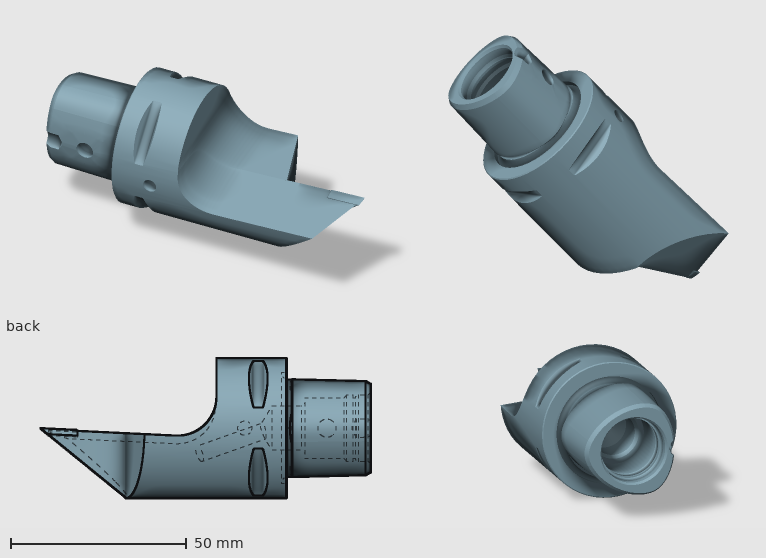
import cadquery as cq
import math


total_length = 94.0
flange_dia = 40.0
flange_radius = flange_dia / 2
flange_x = 23.9
flange_chamfer = 0.3
well_clear = 2 * flange_dia

lobe_count = 3
lobe_mean_dia = 27.9
lobe_height = 0.9
taper_ratio = 1 / 20
taper_end_x = 22.3
lead_in_length = 1.5
lead_in_depth = 0.8
relief_length = 1.1
relief_depth = 1.3
lobe_patch_half_angle = 27

neck_radius = 13.9
neck_start_x = 22.6
neck_fillet = 1.9
neck_fillet_x = 23.6

drill_point_angle = 118
cone_per_radius = 1 / math.tan(math.radians(drill_point_angle / 2))
mouth_radius = 20.0 / 2
entry_radius = 9.5
lip_radius = 18.0 / 2
bore_radius = 8.6
core_mouth_radius = 7.1
core_radius = 12.5 / 2
mouth_end_x = 0.8
entry_end_x = 3.5
lip_x = 4.3
groove_start_x = 5.1
groove_end_x = 6.9
groove_exit_x = 7.6
shoulder_x = 18.8
core_end_x = 28.2

coolant_dia = 4.6
coolant_depth = 23.5
coolant_lean_y = 0.6
coolant_lean_z = -0.5
coolant_tilt = 29

notch_dia = 5.45
notch_length = 4.1
notch_y = -13.25
shank_hole_dia = 5.2
shank_hole_x = 12.5
shank_hole_floor_y = -10.3
flange_hole_dia = 4.0
flange_hole_x = 35.9
flange_hole_floor_y = -17.4

slot_count = 4
first_slot_angle = 45
slot_x = 32.05
slot_floor_width = 2.6
slot_floor_radius = 17.7
slot_fillet = 0.5
slot_wall_angle = 30

wall_x = 44.0
wall_fillet = 11.0
floor_slope = 2.75
insert_rise = 0.235
ridge_y = -0.3
side_tilt = 7
tilted_wall_shift = 0.2

side_y = -0.2
side_corner_x = 69.8
side_end_angle = 15
side_corner_radius = 0.5

end_x = 94.2
end_lean_y = 0.21
end_lean_z = 1.23

insert_start_x = 83.8
insert_start_lean = 0.3
insert_width = 3.3
insert_side_y = 0.1
insert_seat_depth = 1.4
insert_lean_y = 0


def lobe_point(angle, mean_radius):
    """Point (y, z) of the lobed outline whose outward normal points along the angle."""
    reach = mean_radius + lobe_height * math.cos(lobe_count * angle)
    slope = -lobe_count * lobe_height * math.sin(lobe_count * angle)
    return (
        reach * math.cos(angle) - slope * math.sin(angle),
        reach * math.sin(angle) + slope * math.cos(angle),
    )


def lobe_wire(x, mean_radius):
    """Closed lobed outline at x: lobe patches alternate with flatter ones."""
    half = math.radians(lobe_patch_half_angle)
    pitch = math.radians(360 / lobe_count)
    points_per_patch = 9
    edges = []
    for lobe in range(lobe_count):
        middle = lobe * pitch
        for start, end in ((middle - half, middle + half), (middle + half, middle + pitch - half)):
            points = []
            for step in range(points_per_patch):
                angle = start + (end - start) * step / (points_per_patch - 1)
                points.append(cq.Vector(x, *lobe_point(angle, mean_radius)))
            edges.append(cq.Edge.makeSpline(points))
    return cq.Wire.assembleEdges(edges)


def mean_radius_at(x):
    """Mean radius of the taper at x."""
    return lobe_mean_dia / 2 - (taper_end_x - x) * taper_ratio / 2


def turned(points):
    """Solid of revolution about X from a closed (x, radius) outline."""
    return cq.Workplane("XY").polyline(points).close().revolve(360, (0, 0), (1, 0))


def make_shank():
    """Taper with a lead-in bevel at its small end and a relief bevel at its big end."""
    lead_in_radius = mean_radius_at(lead_in_length)
    taper_end_radius = mean_radius_at(taper_end_x)
    outlines = [
        lobe_wire(0, lead_in_radius - lead_in_depth),
        lobe_wire(lead_in_length, lead_in_radius),
        lobe_wire(taper_end_x, taper_end_radius),
        lobe_wire(taper_end_x + relief_length, taper_end_radius - relief_depth),
    ]
    return cq.Workplane(cq.Solid.makeLoft(outlines, True))


def make_neck():
    """Round neck that runs into the floor of the ring groove with a fillet."""
    groove_floor_x = neck_fillet_x + neck_fillet
    diagonal = neck_fillet * math.sqrt(0.5)
    return (
        cq.Workplane("XY")
        .moveTo(neck_start_x, 0)
        .lineTo(neck_start_x, neck_radius)
        .lineTo(neck_fillet_x, neck_radius)
        .threePointArc(
            (neck_fillet_x + diagonal, neck_radius + neck_fillet - diagonal),
            (groove_floor_x, neck_radius + neck_fillet),
        )
        .lineTo(groove_floor_x, 0)
        .close()
        .revolve(360, (0, 0), (1, 0))
    )


def make_round():
    """Full round bar from the flange to the tip, with a ring groove in the flange face."""
    groove_radius = neck_radius + neck_fillet
    return turned([
        (neck_fillet_x + neck_fillet, 0),
        (neck_fillet_x + neck_fillet, groove_radius),
        (flange_x, groove_radius),
        (flange_x, flange_radius - flange_chamfer),
        (flange_x + flange_chamfer, flange_radius),
        (total_length, flange_radius),
        (total_length, 0),
    ])


def make_bore():
    cone_end_x = core_end_x + core_radius * cone_per_radius
    return turned([
        (0, 0),
        (0, mouth_radius),
        (mouth_end_x, entry_radius),
        (entry_end_x, entry_radius),
        (lip_x, lip_radius),
        (lip_x, bore_radius),
        (groove_start_x, bore_radius),
        (groove_start_x, entry_radius),
        (groove_end_x, entry_radius),
        (groove_exit_x, bore_radius),
        (shoulder_x, bore_radius),
        (shoulder_x, core_mouth_radius),
        (shoulder_x + core_mouth_radius - core_radius, core_radius),
        (core_end_x, core_radius),
        (cone_end_x, 0),
    ])


def make_coolant_hole():
    tilt = math.radians(coolant_tilt)
    sideways = math.hypot(coolant_lean_y, coolant_lean_z)
    direction = cq.Vector(
        math.cos(tilt),
        math.sin(tilt) * coolant_lean_y / sideways,
        math.sin(tilt) * coolant_lean_z / sideways,
    )
    start = cq.Vector(core_end_x, 0, 0)
    return cq.Workplane(cq.Solid.makeCylinder(coolant_dia / 2, coolant_depth, start, direction))


def drilled(dia, start, direction, depth):
    """Drill shape: a cylinder with a conical point."""
    radius = dia / 2
    shaft = cq.Solid.makeCylinder(radius, depth, start, direction)
    point = cq.Solid.makeCone(radius, 0, radius * cone_per_radius, start + direction * depth, direction)
    return cq.Workplane(shaft).union(cq.Workplane(point))


def make_side_hole(dia, x, floor_y):
    """Blind hole drilled from the -Y side; its full diameter ends at floor_y."""
    return drilled(dia, cq.Vector(x, -flange_radius, 0), cq.Vector(0, 1, 0), floor_y + flange_radius)


def make_end_notch():
    return drilled(notch_dia, cq.Vector(0, notch_y, 0), cq.Vector(1, 0, 0), notch_length)


def make_gripper_slot(angle):
    """Flat-floored slot with leaning walls, straight across the flange at the angle about X."""
    depth = flange_radius - slot_floor_radius
    floor_half = slot_floor_width / 2
    top_half = floor_half + depth * math.tan(math.radians(slot_wall_angle))
    return (
        cq.Workplane("XZ")
        .polyline([
            (slot_x - floor_half, slot_floor_radius),
            (slot_x + floor_half, slot_floor_radius),
            (slot_x + top_half, flange_radius),
            (slot_x - top_half, flange_radius),
        ])
        .close()
        .extrude(flange_radius, both=True)
        .edges("|Y and <Z")
        .fillet(slot_fillet)
        .rotate((0, 0, 0), (1, 0, 0), angle)
    )


def floor_z(x):
    """Height of the nose floor along its ridge."""
    return -insert_rise - (total_length - x) * math.tan(math.radians(floor_slope))


def make_nose_cutter(start_x):
    """Everything above the nose floor, with a rounded corner at the end wall."""
    far_x = total_length + flange_radius
    return (
        cq.Workplane("XZ")
        .polyline([
            (start_x, floor_z(start_x)),
            (far_x, floor_z(far_x)),
            (far_x, well_clear),
            (start_x, well_clear),
        ])
        .close()
        .extrude(well_clear, both=True)
        .edges("|Y and <X and <Z")
        .fillet(wall_fillet)
    )


def tilt_to_side(shape):
    """Tilt a level shape about the ridge, so that it falls toward -Y."""
    pivot_z = floor_z(wall_x + wall_fillet)
    return shape.rotate((0, ridge_y, pivot_z), (1, ridge_y, pivot_z), side_tilt)


def make_tilted_nose_cutter():
    half_space = cq.Workplane("XY").box(
        2 * well_clear, well_clear, 4 * well_clear, centered=(True, False, True)
    ).translate((total_length, ridge_y - well_clear, 0))
    return tilt_to_side(make_nose_cutter(wall_x + tilted_wall_shift).intersect(half_space))


def make_side_cutter():
    """Removes the +Y half of the nose beyond a slanted end face."""
    run = flange_dia * math.tan(math.radians(side_end_angle))
    return (
        cq.Workplane("XY")
        .workplane(offset=-well_clear)
        .polyline([
            (side_corner_x, side_y),
            (total_length + flange_dia, side_y),
            (total_length + flange_dia, side_y + flange_dia),
            (side_corner_x - run, side_y + flange_dia),
        ])
        .close()
        .extrude(2 * well_clear)
        .edges(cq.selectors.NearestToPointSelector((side_corner_x, side_y, 0)))
        .fillet(side_corner_radius)
    )


def beyond_end(lean_y):
    """Block beyond the slanted end plane x = end_x + lean_y * y + end_lean_z * z."""
    normal = cq.Vector(1, -lean_y, -end_lean_z)
    plane = cq.Plane(origin=(end_x, 0, 0), normal=normal)
    return cq.Workplane(plane).rect(4 * well_clear, 4 * well_clear).extrude(well_clear)


def make_insert():
    """Thin cutting plate that forms the tip and stands proud of the floor."""
    start_z = floor_z(insert_start_x)
    end_z = floor_z(total_length)
    blank = (
        cq.Workplane("XZ")
        .polyline([
            (insert_start_x - insert_start_lean, start_z - insert_seat_depth),
            (total_length, end_z - insert_seat_depth),
            (total_length, end_z + insert_rise),
            (insert_start_x, start_z + insert_rise),
            (insert_start_x - insert_start_lean, start_z),
        ])
        .close()
        .extrude(insert_width)
        .translate((0, insert_side_y, 0))
    )
    return tilt_to_side(blank).cut(beyond_end(insert_lean_y))


def make_holder(insert):
    holder = make_shank().union(make_neck()).union(make_round())
    holder = holder.cut(make_nose_cutter(wall_x)).cut(make_tilted_nose_cutter())
    holder = holder.cut(make_side_cutter()).cut(beyond_end(end_lean_y))
    holder = holder.cut(make_bore()).cut(make_coolant_hole()).cut(make_end_notch())
    holder = holder.cut(make_side_hole(shank_hole_dia, shank_hole_x, shank_hole_floor_y))
    holder = holder.cut(make_side_hole(flange_hole_dia, flange_hole_x, flange_hole_floor_y))
    for index in range(slot_count):
        holder = holder.cut(make_gripper_slot(first_slot_angle + index * 360 / slot_count))
    return holder.cut(insert)


insert = make_insert()
holder = make_holder(insert)
result = cq.Compound.makeCompound([holder.val(), insert.val()])